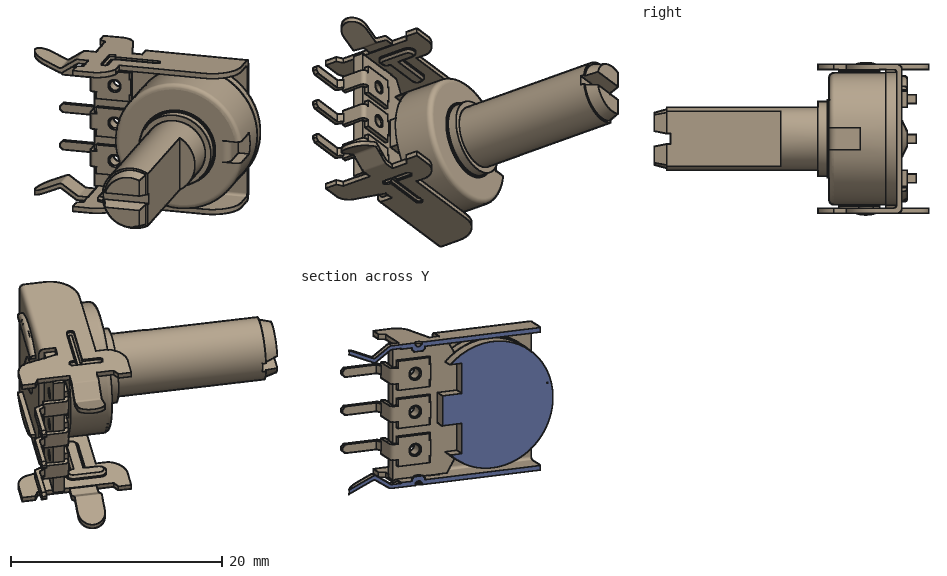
import cadquery as cq
import math


shaft_radius = 3.0
shaft_end = -15.5
flat_offset = 1.5
flat_length = 12.0
prong_length = 1.2
prong_root_radius = 2.8
prong_tip_radius = 2.47
prong_flat_root = 1.3
prong_flat_tip = 1.0
slot_width = 0.96
slot_tip_width = 1.44
slot_depth = 1.55

bushing_radius = 3.55
collar_radius = 3.7
collar_length = 0.15
body_front = 1.04
body_radius = 6.25
body_fillet = 0.5
notch_half_width = 1.06
notch_wall = 5.1
notch_round = 0.7
notch_floor = 4.0
window_front = 5.1
window_half_width = 4.43
window_wall = -3.2
key_half_width = 1.5
key_left = -5.2

board_front = 6.4
board_back = 7.45
board_left = -9.79
board_half_height = 6.6
board_ring_radius = 6.28
board_shoulder = (-4.25, -3.3)
board_shoulder_height = 1.6

sheet = 0.5
flange_outer = 7.05
flange_depth = 10.5
plate_left = -5.05
plate_right = 4.95
bend_inner = 0.3
bend_outer = 0.5
plate_back = board_back + sheet
lug_width = 2.6
lug_tip = -15.07
lug_sheet = 0.42
lug_path = [(-9.0, flange_outer), (-10.6, flange_outer), (-12.2, 5.97), (-15.3, 7.31)]
lug_y = 4.53
lug_bend = 0.3

foot_left = -10.05
foot_right = -8.1
flange_left = -9.45
foot_inset_outer = 4.0
foot_inset_inner = 3.65
front_foot_arc = (-6.95, 0.45)
front_foot_top = 1.5
wing_start = -6.23
wing_front = 2.7
wing_arc_start = 2.1
wing_arc = (4.1, 3.52)
wing_arc_top = 5.4
relief_front = 6.36
relief_left = -6.05
back_foot_shoulder = (-6.8, 9.2)
back_foot_arc = (-7.25, 10.1)

rib_cross_x = -7.65
rib_cross_y = (2.3, 5.5)
rib_long_y = 4.55
rib_long_end = -2.77
groove_width = 0.7
groove_depth = 0.4
groove_bevel = 0.2
rib_margin = 0.35
rib_height = 0.42
rib_chamfer = 0.25

terminal_pitch = 3.75
terminal_sheet = 0.42
pad_left = flange_left
pad_right = -6.05
pad_height = 2.87
pad_front = board_front - terminal_sheet
eyelet_x = -7.67
eyelet_diameter = 1.0
eyelet_countersink = 1.25
pad_chamfer = 0.16
strip_height = 1.55
strip_left = -10.15
strip_shoulder = 8.46
pin_tip = -13.9
pin_height = 0.85
pin_back = 9.3
pin_tip_chamfer = 0.28

stake_half_width = 3.28
stake_back = 8.45
stake_inner = 4.6
stake_outer_radius = 5.95
stake_fillet = 0.3
hub_base_radius = 1.75
hub_tip_radius = 0.7

overlap = 0.1
seam = 0.001


def disc(radius, y_start, y_end):
    """Cylinder about the shaft axis."""
    return cq.Workplane("XZ", origin=(0, y_start, 0)).circle(radius).extrude(y_start - y_end)


def cone(start_radius, end_radius, y_start, y_end):
    """Truncated cone about the shaft axis."""
    profile = [(0, y_start), (start_radius, y_start), (end_radius, y_end), (0, y_end)]
    return cq.Workplane("XY").polyline(profile).close().revolve(360, (0, 0, 0), (0, 1, 0))


def block(x_range, y_range, z_range):
    """Box between the given limits."""
    size = [high - low for low, high in (x_range, y_range, z_range)]
    corner = (x_range[0], y_range[0], z_range[0])
    return cq.Workplane("XY").box(*size, centered=False).translate(corner)


def sheet_outline(path, thickness):
    """Closed outline of a bent sheet: the path and its mitred offset to the left of travel."""
    angles = [math.atan2(b[1] - a[1], b[0] - a[0]) for a, b in zip(path, path[1:])]
    before = [angles[0]] + angles
    after = angles + [angles[-1]]
    offset = []
    for (u, v), first, second in zip(path, before, after):
        normal = (first + second) / 2 + math.pi / 2
        reach = thickness / math.cos((second - first) / 2)
        offset.append((u + reach * math.cos(normal), v + reach * math.sin(normal)))
    return path + offset[::-1]


def mirrored(half):
    """The shape together with its mirror image below Z = 0."""
    return half.union(half.mirror("XY"))


def make_shaft():
    prong_root = shaft_end + prong_length
    shaft = disc(shaft_radius, board_front, prong_root)
    flat_y = (prong_root - overlap, shaft_end + flat_length)
    side = (-shaft_radius - overlap, shaft_radius + overlap)
    shaft = shaft.cut(block((flat_offset, side[1]), flat_y, side))

    prongs = cone(prong_root_radius, prong_tip_radius, prong_root, shaft_end)
    flat_profile = [
        (-shaft_radius, prong_root),
        (prong_flat_root, prong_root),
        (prong_flat_tip, shaft_end),
        (-shaft_radius, shaft_end),
    ]
    flat_keep = cq.Workplane("XY").polyline(flat_profile).close().extrude(shaft_radius, both=True)
    prongs = prongs.intersect(flat_keep)

    slot_profile = [
        (shaft_end + slot_depth, slot_width / 2),
        (prong_root, slot_width / 2),
        (shaft_end, slot_tip_width / 2),
        (shaft_end, -slot_tip_width / 2),
        (prong_root, -slot_width / 2),
        (shaft_end + slot_depth, -slot_width / 2),
    ]
    slot = cq.Workplane("YZ").polyline(slot_profile).close().extrude(shaft_radius + overlap, both=True)
    return shaft.union(prongs).cut(slot)


def make_housing():
    body = disc(body_radius, board_front, body_front).faces("<Y").edges().fillet(body_fillet)

    arc_inset = notch_round * (1 - math.sqrt(0.5))
    notch = (
        cq.Workplane("XY", origin=(0, 0, -notch_half_width))
        .moveTo(notch_wall - notch_round, body_front)
        .threePointArc(
            (notch_wall - arc_inset, body_front + arc_inset),
            (notch_wall, body_front + notch_round),
        )
        .lineTo(notch_wall, notch_floor)
        .lineTo(body_radius + overlap, notch_floor)
        .lineTo(body_radius + overlap, body_front)
        .close()
        .extrude(2 * notch_half_width)
    )
    body = body.cut(notch)

    window_y = (window_front, board_front)
    body = body.cut(
        block((-body_radius - overlap, window_wall), window_y, (-window_half_width, window_half_width))
    )
    body = body.union(block((key_left, window_wall), window_y, (-key_half_width, key_half_width)))

    bushing = disc(bushing_radius, body_front + overlap, 0)
    collar = disc(collar_radius, body_front + overlap, body_front - collar_length)
    return body.union(bushing).union(collar)


def make_board():
    shoulder_far, shoulder_near = board_shoulder
    outline = [
        (board_left, -board_half_height),
        (shoulder_far, -board_half_height),
        (shoulder_near, board_shoulder_height - board_half_height),
        (shoulder_near, board_half_height - board_shoulder_height),
        (shoulder_far, board_half_height),
        (board_left, board_half_height),
    ]
    board = cq.Workplane("XZ", origin=(0, board_back, 0)).polyline(outline).close()
    board = board.extrude(board_back - board_front)
    return board.union(disc(board_ring_radius, board_back, board_front))


def make_flange():
    """Flat flange: mounting feet at both ends on the left, a long wing over the housing on the right."""
    middle = flange_depth / 2
    outline = (
        cq.Workplane("XY", origin=(0, 0, flange_outer - sheet))
        .moveTo(foot_left, 0)
        .lineTo(foot_right, 0)
        .threePointArc(front_foot_arc, (wing_start, front_foot_top))
        .lineTo(wing_start, wing_front)
        .lineTo(wing_arc_start, wing_front)
        .threePointArc(wing_arc, (plate_right, wing_arc_top))
        .lineTo(plate_right, plate_back)
        .lineTo(plate_left, plate_back)
        .lineTo(plate_left, relief_front)
        .lineTo(relief_left, relief_front)
        .lineTo(*back_foot_shoulder)
        .threePointArc(back_foot_arc, (foot_right, flange_depth))
        .lineTo(foot_left, flange_depth)
        .lineTo(foot_left, middle + foot_inset_outer)
        .lineTo(flange_left, middle + foot_inset_inner)
        .lineTo(flange_left, middle - foot_inset_inner)
        .lineTo(foot_left, middle - foot_inset_outer)
        .close()
    )
    return outline.extrude(sheet)


def rib_bars(width, height, z_base):
    """Two round-ended bars forming a T, standing on z_base."""
    margin = width - groove_width
    low, high = rib_cross_y
    cross_length = high - low + margin
    plane = cq.Workplane("XY", origin=(0, 0, z_base))
    cross = plane.center(rib_cross_x, (low + high) / 2).slot2D(cross_length, width, 90).extrude(height)
    long_left = rib_cross_x - width / 2
    long_length = rib_long_end - long_left
    long_middle = (rib_long_end + long_left) / 2
    return cross, plane.center(long_middle, rib_long_y).slot2D(long_length, width, 0).extrude(height)


def make_lug():
    outline = sheet_outline(lug_path, lug_sheet)
    strip = cq.Workplane("XZ", origin=(0, lug_y, 0)).polyline(outline).close()
    strip = strip.extrude(lug_width / 2, both=True)
    side_y = lug_width / 2 + overlap
    for bend_x, _ in lug_path[1:-1]:
        bend = cq.selectors.BoxSelector(
            (bend_x - lug_sheet, lug_y - side_y, 0),
            (bend_x + lug_sheet, lug_y + side_y, flange_outer + lug_sheet),
        )
        strip = strip.edges("|Y").edges(bend).fillet(lug_bend)
    plan_length = 2 * (lug_path[0][0] - lug_tip)
    plan = cq.Workplane("XY").center(lug_path[0][0], lug_y).slot2D(plan_length, lug_width)
    return strip.intersect(plan.extrude(flange_outer + lug_width))


def make_bracket():
    flange = make_flange()
    inner_face = flange_outer - sheet
    rib_width = groove_width + 2 * rib_margin
    for bar in rib_bars(rib_width, rib_height, inner_face - rib_height):
        flange = flange.union(bar.faces("<Z").edges().chamfer(rib_chamfer))
    for groove in rib_bars(groove_width, groove_depth, flange_outer - groove_depth):
        flange = flange.cut(groove.faces("<Z").edges().chamfer(groove_bevel))
    sides = mirrored(flange.union(make_lug()))
    plate = block((plate_left, plate_right), (board_back, plate_back), (-flange_outer, flange_outer))
    bracket = sides.union(plate)

    bend_middle = (plate_left + plate_right) / 2
    outer_bends = (flange_outer, plate_back, bend_outer)
    inner_bends = (inner_face, board_back, bend_inner)
    for bend_z, bend_y, radius in (outer_bends, inner_bends):
        for side in (-1, 1):
            edge = cq.selectors.NearestToPointSelector((bend_middle, bend_y, side * bend_z))
            bracket = bracket.edges("|X").edges(edge).fillet(radius)
    return bracket


def make_back_details():
    rim = disc(stake_outer_radius, stake_back, board_back).faces(">Y").edges().fillet(stake_fillet)
    window = block(
        (-stake_half_width, stake_half_width), (board_back, stake_back), (stake_inner, stake_outer_radius)
    )
    hub = cone(hub_base_radius, hub_tip_radius, plate_back, stake_back)
    return mirrored(rim.intersect(window)).union(hub)


def make_terminal():
    """Terminal centred on Z = 0: eyelet pad, bent strip and solder pin."""
    pad = block((pad_left, pad_right), (pad_front, board_front), (-pad_height / 2, pad_height / 2))
    pad = pad.edges(">X and <Y").chamfer(pad_chamfer)

    strip_path = [(pad_right, pad_front), (strip_left, pad_front), (strip_left, strip_shoulder)]
    strip = cq.Workplane("XY").polyline(sheet_outline(strip_path[::-1], terminal_sheet)).close()
    strip = strip.extrude(strip_height / 2, both=True)
    strip = strip.edges("|Z and <X and <Y").fillet(terminal_sheet)

    strip_right = strip_left + terminal_sheet
    pin_path = [
        (pin_tip, pin_back),
        (strip_left, pin_back),
        (strip_right, strip_shoulder),
        (strip_right, board_front),
    ]
    pin = cq.Workplane("XY").polyline(sheet_outline(pin_path[::-1], terminal_sheet)).close()
    pin = pin.extrude(pin_height / 2, both=True)
    pin = pin.faces("<X").edges("|Y").chamfer(pin_tip_chamfer)
    return pad.union(strip).union(pin)


def make_eyelet():
    """Through hole with a countersunk mouth in the pad face."""
    start = cq.Workplane("XZ", origin=(eyelet_x, plate_back, 0))
    hole = start.circle(eyelet_diameter / 2).extrude(plate_back - pad_front)
    depth = (eyelet_countersink - eyelet_diameter) / 2
    mouth = cq.Workplane("XZ", origin=(eyelet_x, pad_front + depth, 0)).circle(eyelet_countersink / 2)
    return hole.union(mouth.extrude(depth).faces(">Y").chamfer(depth - seam))


result = make_shaft().union(make_housing()).union(make_board())
result = result.union(make_bracket()).union(make_back_details())
for position in (-1, 0, 1):
    height = position * terminal_pitch
    result = result.union(make_terminal().translate((0, 0, height)))
    result = result.cut(make_eyelet().translate((0, 0, height)))